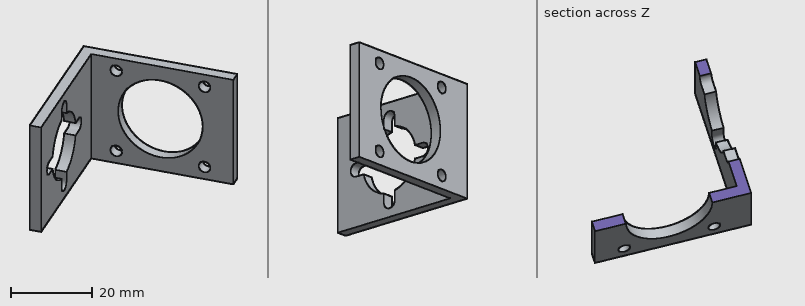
import cadquery as cq

leg_length = 40.0
height = 30.0
thickness = 3.0
mid_height = height / 2

bore_x = 21.0
bore_diameter = 22.0
screw_spacing = 23.0
screw_diameter = 3.0

cross_y = -23.0
cross_bore_diameter = 17.2
slot_span = 25.4
slot_width = 3.5


def make_angle():
    """L-shaped profile extruded upward, with the outer corner at the origin."""
    outline = [
        (0, 0),
        (leg_length, 0),
        (leg_length, -thickness),
        (thickness, -thickness),
        (thickness, -leg_length),
        (0, -leg_length),
    ]
    return cq.Workplane("XY").polyline(outline).close().extrude(height)


def back_plate_cutter():
    """Bore and screw holes running through the back plate along Y."""
    plane = cq.Workplane("XZ", origin=(bore_x, 0, mid_height))
    bore = plane.circle(bore_diameter / 2).extrude(thickness)
    screws = (
        plane.rect(screw_spacing, screw_spacing, forConstruction=True)
        .vertices()
        .circle(screw_diameter / 2)
        .extrude(thickness)
    )
    return bore.union(screws)


def side_plate_cutter():
    """Bore and crossed slots running through the side plate along X."""
    plane = cq.Workplane("YZ", origin=(0, cross_y, mid_height))
    cutter = plane.circle(cross_bore_diameter / 2).extrude(thickness)
    for angle in (0, 90):
        cutter = cutter.union(plane.slot2D(slot_span, slot_width, angle).extrude(thickness))
    return cutter


result = make_angle().cut(back_plate_cutter()).cut(side_plate_cutter())